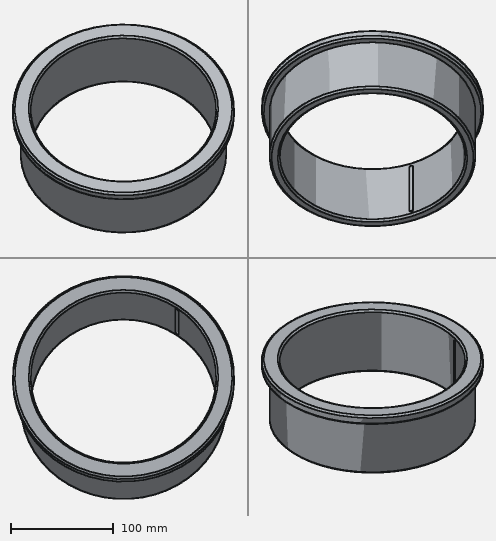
import cadquery as cq

flange_diameter = 215.0
body_diameter = 200.0
bore_diameter = 180.0
total_height = 70.0
flange_thickness = 10.0
edge_chamfer = 2.0

groove_width = 4.0
groove_length = 60.0


def sleeve():
    """Flanged ring standing on Z = 0, with its outer rims and bore mouths chamfered."""
    flange_bottom = total_height - flange_thickness
    body = cq.Workplane("XY").circle(body_diameter / 2).extrude(flange_bottom)
    body = body.faces("<Z").edges().chamfer(edge_chamfer)
    flange = (
        cq.Workplane("XY", origin=(0, 0, flange_bottom))
        .circle(flange_diameter / 2)
        .extrude(flange_thickness)
        .edges()
        .chamfer(edge_chamfer)
    )
    bore = cq.Workplane("XY").circle(bore_diameter / 2).extrude(total_height)
    ring = body.union(flange).cut(bore)
    bore_edges = cq.selectors.RadiusNthSelector(0)
    return ring.edges(bore_edges).chamfer(edge_chamfer)


def groove_cutter():
    """Upright round bar with ball ends, its axis on the bore wall at mid-height."""
    radius = groove_width / 2
    straight_length = groove_length - groove_width
    profile = (
        cq.Workplane("XZ")
        .moveTo(0, -groove_length / 2)
        .radiusArc((radius, -straight_length / 2), -radius)
        .lineTo(radius, straight_length / 2)
        .radiusArc((0, groove_length / 2), -radius)
        .close()
    )
    bar = profile.revolve(360, (0, 0), (0, 1))
    return bar.translate((bore_diameter / 2, 0, total_height / 2))


result = sleeve().cut(groove_cutter())